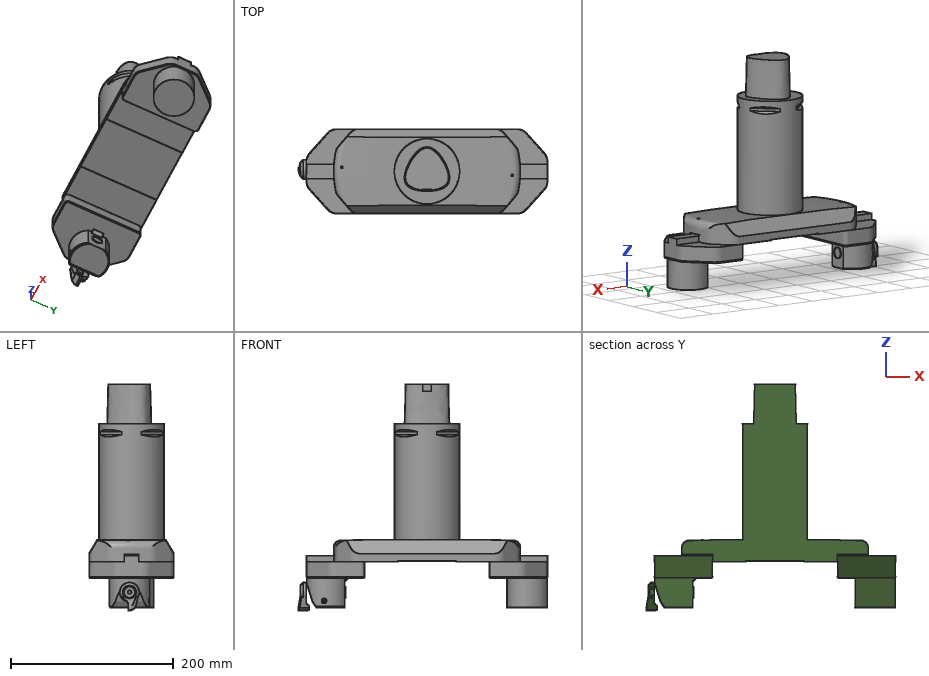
import cadquery as cq
import math


SHANK_DIA = 80.2
SHANK_TOP = 169.5
TAPER_TOP = 218.0
TAPER_MEAN_RADIUS = 27.2
TAPER_LOBE = 2.8
TAPER_DRAFT = 1.2
TAPER_POINTS = 36
KEY_NOTCH_WIDTH = 10.0
KEY_NOTCH_HEIGHT = 8.5
KEY_NOTCH_DEPTH = 1.5

GROOVE_COUNT = 4
GROOVE_BELOW_TOP = 11.5
GROOVE_DEPTH = 4.5
GROOVE_FLOOR_HEIGHT = 3.5
GROOVE_MOUTH_HEIGHT = 9.0

WIDTH = 104.0
BASE_TOP = 27.2
BASE_END_RADIUS = 114.7
BASE_CORNER_X = 90.2
BASE_CORNER_Y = 23.5
CORNER_FILLET = 15.0
FLAT_TOP_RADIUS = 72.5
ROUND_START_RADIUS = 105.0
ROUND_START_DROP = 1.0
END_WALL_HEIGHT = 17.0
SIDE_WALL_HEIGHT = 10.0
SIDE_SLANT_WIDTH = 10.0
RELIEF_LENGTH = 71.5
RELIEF_DEPTH = 1.0
MARK_HOLE_DIA = 2.5
MARK_HOLE_DEPTH = 3.0
MARK_HOLE_X = 104.5
MARK_HOLE_Y = 5.0

SLIDE_END_X = 148.0
SLIDE_INNER_X = 76.5
SLIDE_THICKNESS = 20.2
SLIDE_CORNER_X = 117.5
SLIDE_CORNER_Y = 18.0
SLIDE_INNER_FILLET = 5.0
SLIDE_CHAMFER_HEIGHT = 1.8
SLIDE_CHAMFER_WIDTH = 1.0
TONGUE_WIDTH = 17.7
TONGUE_HEIGHT = 7.5
SLOT_HEIGHT = 9.2

BARREL_DIA = 50.0
BARREL_X = 123.0
BARREL_Y = 2.5
BARREL_BOTTOM = -56.3
HEAD_CHAMFER = 1.5
NOSE_TOP_Z = -26.3
NOSE_KINK = (-140.7, -49.0)
NOSE_FOOT_X = -135.8
BACK_FLAT_X = -101.0
BACK_GUSSET = 4.3
BACK_BOSS_DIA = 13.8
BACK_BOSS_HEIGHT = 1.0
SIDE_HOLE_X = -126.5
SIDE_HOLE_Z = -48.0
SIDE_HOLE_DIA = 2.8
SIDE_COUNTERBORE_DIA = 6.0
SIDE_COUNTERBORE_DEPTH = 1.2
SIDE_HOLE_DEPTH = 6.0

INSERT_Z = -37.3
INSERT_DIA = 24.0
INSERT_BACK_X = -SLIDE_END_X
INSERT_CONE_START_X = -152.0
INSERT_FRONT_X = -155.7
INSERT_FRONT_DIA = 16.5
SCREW_HEAD_DIA = 13.8
RECESS_RIM = 1.0
SCREW_SHANK_DIA = 8.5
SCREW_HEAD_BACK_X = -151.7
SCREW_HEAD_FRONT_X = -154.2
SOCKET_DIA = 5.0
SOCKET_DEPTH = 1.5

TIP_X = -158.0
TIP_Z = -60.0
TIP_FRONT_Z = -55.7
ARM_TOP_Z = -42.8
HEEL_X = -144.5
HEEL_TOP_Z = -54.5
HEEL_CHAMFER = 1.0
HEEL_CHAMFER_WIDTH = 2.8
ARM_BACK_FOOT_Z = -51.0
ARM_FRONT_OUTLINE = [
    (12.2, ARM_TOP_Z),
    (11.5, -44.7),
    (5.5, -48.5),
    (4.3, -51.5),
    (4.0, TIP_Z),
    (1.2, TIP_Z),
    (-1.8, -58.5),
    (-5.0, -56.3),
    (-6.0, -51.5),
    (-8.0, ARM_TOP_Z),
]

OVERLAP = 3.0


def box(x0, x1, y0, y1, z0, z1):
    return cq.Workplane("XY").box(x1 - x0, y1 - y0, z1 - z0, centered=False).translate((x0, y0, z0))


def x_cylinder(diameter, x0, x1, z):
    """Cylinder along X on the centre line of the boring head."""
    plane = cq.Workplane("YZ", origin=(x0, BARREL_Y, z))
    return plane.circle(diameter / 2).extrude(x1 - x0)


def taper_outline(mean_radius):
    points = []
    for i in range(TAPER_POINTS):
        t = 2 * math.pi * i / TAPER_POINTS
        x = mean_radius * math.cos(t) - TAPER_LOBE * math.sin(2 * t)
        y = mean_radius * math.sin(t) - TAPER_LOBE * math.cos(2 * t)
        points.append((x, y))
    return points


def make_taper():
    foot = cq.Workplane("XY", origin=(0, 0, SHANK_TOP))
    foot = foot.spline(taper_outline(TAPER_MEAN_RADIUS), periodic=True).close()
    top = foot.workplane(offset=TAPER_TOP - SHANK_TOP)
    taper = top.spline(taper_outline(TAPER_MEAN_RADIUS - TAPER_DRAFT), periodic=True).close().loft()
    flat_y = -(TAPER_MEAN_RADIUS - TAPER_DRAFT - TAPER_LOBE)
    half = KEY_NOTCH_WIDTH / 2
    notch_bottom = TAPER_TOP - KEY_NOTCH_HEIGHT
    notch_back = flat_y + KEY_NOTCH_DEPTH
    notch = box(-half, half, flat_y - OVERLAP, notch_back, notch_bottom, TAPER_TOP)
    return taper.cut(notch)


def make_groove_cutter(angle):
    floor_x = SHANK_DIA / 2 - GROOVE_DEPTH
    mouth_x = SHANK_DIA / 2
    floor_half = GROOVE_FLOOR_HEIGHT / 2
    mouth_half = GROOVE_MOUTH_HEIGHT / 2
    groove = cq.Workplane("XZ", origin=(0, 0, SHANK_TOP - GROOVE_BELOW_TOP)).polyline([
        (floor_x, -floor_half),
        (mouth_x, -mouth_half),
        (mouth_x, mouth_half),
        (floor_x, floor_half),
    ]).close().extrude(SHANK_DIA / 2, both=True)
    return groove.rotate((0, 0, 0), (0, 0, 1), angle)


def make_shank():
    shank = cq.Workplane("XY").circle(SHANK_DIA / 2).extrude(SHANK_TOP)
    for i in range(GROOVE_COUNT):
        shank = shank.cut(make_groove_cutter((i + 0.5) * 360 / GROOVE_COUNT))
    return shank


def make_base():
    half_width = WIDTH / 2
    corners = [(-BASE_END_RADIUS, BASE_CORNER_Y), (-BASE_CORNER_X, half_width)]
    upper = corners + [(-x, y) for x, y in reversed(corners)]
    lower = [(x, -y) for x, y in reversed(upper)]
    plan = cq.Workplane("XY").polyline(upper + lower).close().extrude(BASE_TOP)
    disc = cq.Workplane("XY").circle(BASE_END_RADIUS).extrude(BASE_TOP)
    base = plan.intersect(disc).edges("|Z").fillet(CORNER_FILLET)

    turned = (
        cq.Workplane("XZ")
        .lineTo(BASE_END_RADIUS, 0)
        .lineTo(BASE_END_RADIUS, END_WALL_HEIGHT)
        .tangentArcPoint((ROUND_START_RADIUS, BASE_TOP - ROUND_START_DROP), relative=False)
        .lineTo(FLAT_TOP_RADIUS, BASE_TOP)
        .lineTo(0, BASE_TOP)
        .close()
        .revolve(360, (0, 0, 0), (0, 1, 0))
    )
    base = base.intersect(turned)

    section = cq.Workplane("YZ").polyline([
        (-half_width, 0),
        (half_width, 0),
        (half_width, SIDE_WALL_HEIGHT),
        (half_width - SIDE_SLANT_WIDTH, BASE_TOP),
        (-half_width + SIDE_SLANT_WIDTH, BASE_TOP),
        (-half_width, SIDE_WALL_HEIGHT),
    ]).close().extrude(BASE_END_RADIUS, both=True)
    return base.intersect(section)


def make_holder():
    holder = make_base().union(make_shank()).union(make_taper())
    half_relief = RELIEF_LENGTH / 2
    holder = holder.cut(box(-half_relief, half_relief, -WIDTH / 2, WIDTH / 2, 0, RELIEF_DEPTH))
    half_slot = TONGUE_WIDTH / 2
    for side in (-1, 1):
        x0, x1 = sorted((side * SLIDE_INNER_X, side * SLIDE_END_X))
        holder = holder.cut(box(x0, x1, -half_slot, half_slot, 0, SLOT_HEIGHT))
        mark = cq.Workplane("XY", origin=(side * MARK_HOLE_X, -side * MARK_HOLE_Y, BASE_TOP))
        holder = holder.cut(mark.circle(MARK_HOLE_DIA / 2).extrude(-MARK_HOLE_DEPTH))
    return holder


def make_slide(turn):
    """Slide at the -X end, turned about the shank axis."""
    half_width = WIDTH / 2
    plate = cq.Workplane("XY").polyline([
        (-SLIDE_INNER_X, -half_width),
        (-SLIDE_INNER_X, half_width),
        (-SLIDE_CORNER_X, half_width),
        (-SLIDE_END_X, SLIDE_CORNER_Y),
        (-SLIDE_END_X, -SLIDE_CORNER_Y),
        (-SLIDE_CORNER_X, -half_width),
    ]).close().extrude(-SLIDE_THICKNESS)
    plate = plate.edges("|Z and >X").fillet(SLIDE_INNER_FILLET)
    inner_limit = -SLIDE_INNER_X - 2 * SLIDE_INNER_FILLET
    outer_corners = cq.selectors.BoxSelector(
        (-SLIDE_END_X - OVERLAP, -WIDTH, -SLIDE_THICKNESS), (inner_limit, WIDTH, 0)
    )
    plate = plate.edges("|Z").edges(outer_corners).fillet(CORNER_FILLET)
    plate = plate.faces("<Z").chamfer(SLIDE_CHAMFER_HEIGHT, SLIDE_CHAMFER_WIDTH)
    half_tongue = TONGUE_WIDTH / 2
    tongue = box(-SLIDE_END_X, -SLIDE_INNER_X, -half_tongue, half_tongue, 0, TONGUE_HEIGHT)
    return plate.union(tongue).rotate((0, 0, 0), (0, 0, 1), turn)


def make_barrel(x, y):
    plane = cq.Workplane("XY", origin=(x, y, -SLIDE_THICKNESS))
    return plane.circle(BARREL_DIA / 2).extrude(BARREL_BOTTOM + SLIDE_THICKNESS)


def make_head():
    head = make_barrel(-BARREL_X, BARREL_Y).faces("<Z").chamfer(HEAD_CHAMFER)
    radius = BARREL_DIA / 2

    profile = cq.Workplane("XZ", origin=(0, BARREL_Y, 0)).polyline([
        (-BARREL_X - radius, -SLIDE_THICKNESS),
        (-BARREL_X - radius, NOSE_TOP_Z),
        NOSE_KINK,
        (NOSE_FOOT_X, BARREL_BOTTOM),
        (BACK_FLAT_X, BARREL_BOTTOM),
        (BACK_FLAT_X, -SLIDE_THICKNESS),
    ]).close().extrude(radius, both=True)
    head = head.intersect(profile)
    gusset = cq.Workplane("XZ", origin=(0, BARREL_Y, 0)).polyline([
        (BACK_FLAT_X, -SLIDE_THICKNESS),
        (BACK_FLAT_X + BACK_GUSSET, -SLIDE_THICKNESS),
        (BACK_FLAT_X, -SLIDE_THICKNESS - BACK_GUSSET),
    ]).close().extrude(BACK_BOSS_DIA / 2, both=True)
    head = head.union(gusset)
    boss = x_cylinder(BACK_BOSS_DIA, BACK_FLAT_X - OVERLAP, BACK_FLAT_X + BACK_BOSS_HEIGHT, INSERT_Z)
    head = head.union(boss)

    side_plane = cq.Workplane("XZ", origin=(SIDE_HOLE_X, BARREL_Y - radius, SIDE_HOLE_Z))
    head = head.cut(side_plane.circle(SIDE_HOLE_DIA / 2).extrude(-SIDE_HOLE_DEPTH))
    return head.cut(side_plane.circle(SIDE_COUNTERBORE_DIA / 2).extrude(-SIDE_COUNTERBORE_DEPTH))


def make_screw():
    head = x_cylinder(SCREW_HEAD_DIA, SCREW_HEAD_FRONT_X, SCREW_HEAD_BACK_X, INSERT_Z)
    shank = x_cylinder(SCREW_SHANK_DIA, SCREW_HEAD_BACK_X, INSERT_BACK_X, INSERT_Z)
    socket = cq.Workplane("YZ", origin=(SCREW_HEAD_FRONT_X, BARREL_Y, INSERT_Z))
    return head.union(shank).cut(socket.polygon(6, SOCKET_DIA).extrude(SOCKET_DEPTH))


def make_insert():
    cone_height = INSERT_CONE_START_X - INSERT_FRONT_X
    disc = x_cylinder(INSERT_DIA, INSERT_CONE_START_X, INSERT_BACK_X, INSERT_Z)
    cone = cq.Solid.makeCone(
        INSERT_FRONT_DIA / 2, INSERT_DIA / 2, cone_height,
        pnt=cq.Vector(INSERT_FRONT_X, BARREL_Y, INSERT_Z), dir=cq.Vector(1, 0, 0),
    )

    side = cq.Workplane("XZ").polyline([
        (INSERT_FRONT_X, ARM_TOP_Z),
        (TIP_X, TIP_FRONT_Z),
        (TIP_X, TIP_Z),
        (HEEL_X - HEEL_CHAMFER_WIDTH, TIP_Z),
        (HEEL_X, TIP_Z + HEEL_CHAMFER),
        (HEEL_X, HEEL_TOP_Z),
        (INSERT_BACK_X, ARM_BACK_FOOT_Z),
        (INSERT_BACK_X, ARM_TOP_Z),
    ]).close().extrude(WIDTH / 2, both=True)
    front = cq.Workplane("YZ").polyline(ARM_FRONT_OUTLINE).close().extrude(TIP_X - OVERLAP)
    half_width = INSERT_DIA / 2
    bulge = (
        cq.Workplane("XY", origin=(0, BARREL_Y, ARM_TOP_Z))
        .moveTo(INSERT_CONE_START_X, half_width)
        .threePointArc((TIP_X, 0), (INSERT_CONE_START_X, -half_width))
        .lineTo(BACK_FLAT_X, -half_width)
        .lineTo(BACK_FLAT_X, half_width)
        .close()
        .extrude(TIP_Z - ARM_TOP_Z)
    )
    arm = side.intersect(front).intersect(bulge)
    insert = disc.union(cq.Workplane(cone)).union(arm)

    bore = x_cylinder(SCREW_HEAD_DIA, TIP_X, SCREW_HEAD_BACK_X, INSERT_Z)
    shank_hole = x_cylinder(SCREW_SHANK_DIA, SCREW_HEAD_BACK_X, INSERT_BACK_X, INSERT_Z)
    rim = cq.Solid.makeCone(
        SCREW_HEAD_DIA / 2 + RECESS_RIM, SCREW_HEAD_DIA / 2, RECESS_RIM,
        pnt=cq.Vector(INSERT_FRONT_X, BARREL_Y, INSERT_Z), dir=cq.Vector(1, 0, 0),
    )
    return insert.cut(bore).cut(shank_hole).cut(cq.Workplane(rim))


holder = make_holder()
slides = [make_slide(turn) for turn in (0, 180)]
head = make_head()
counterweight = make_barrel(BARREL_X, -BARREL_Y)
insert = make_insert()
screw = make_screw()

result = cq.Compound.makeCompound([
    holder.val(),
    *[slide.val() for slide in slides],
    head.val(),
    counterweight.val(),
    insert.val(),
    screw.val(),
])